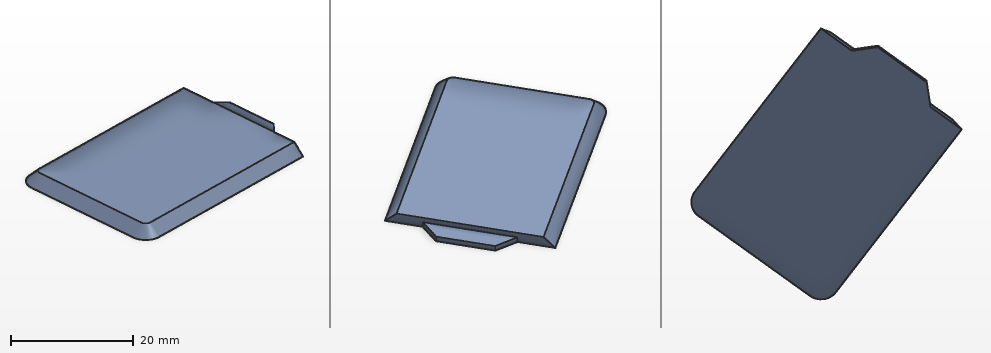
import cadquery as cq

width = 28.8
total_length = 40.6
thickness = 2.0

corner_radius = 3.0
bevel_angle = 45.0

tab_length = 3.0
tab_thickness = 1.0
tab_root_width = 16.0
tab_tip_width = 10.0

plate_length = total_length - tab_length
front_y = -total_length / 2
back_y = front_y + plate_length
tip_y = back_y + tab_length


def make_plate():
    """Tapered slab with rounded front corners, trimmed flat at the back."""
    overrun = corner_radius + thickness
    slab_length = plate_length + overrun
    slab = (
        cq.Workplane("XY")
        .center(0, front_y + slab_length / 2)
        .sketch()
        .rect(width, slab_length)
        .vertices()
        .fillet(corner_radius)
        .finalize()
        .extrude(thickness, taper=bevel_angle)
    )
    keep = (
        cq.Workplane("XY")
        .center(0, front_y + plate_length / 2)
        .rect(width, plate_length)
        .extrude(thickness)
    )
    return slab.intersect(keep)


def make_tab():
    """Flat trapezoid that narrows away from the back edge."""
    outline = [
        (-tab_root_width / 2, back_y),
        (tab_root_width / 2, back_y),
        (tab_tip_width / 2, tip_y),
        (-tab_tip_width / 2, tip_y),
    ]
    return cq.Workplane("XY").polyline(outline).close().extrude(tab_thickness)


result = make_plate().union(make_tab())